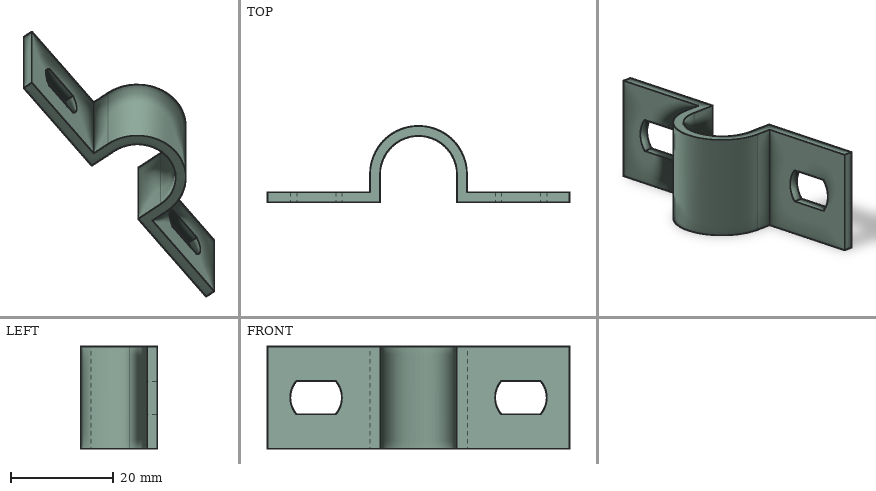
import cadquery as cq

length = 59.0
depth = 15.0
height = 20.0
thickness = 2.0

inner_radius = 7.5
outer_radius = inner_radius + thickness
mount_face_y = outer_radius - depth
flange_front_y = mount_face_y + thickness

hole_spacing = 40.0
hole_diameter = 10.05
hole_flat_height = 6.5


def strap():
    """Bent strap: two flat flanges joined by a round arch on straight legs."""
    half_length = length / 2
    return (
        cq.Workplane("XY")
        .workplane(offset=-height / 2)
        .moveTo(-half_length, mount_face_y)
        .lineTo(-inner_radius, mount_face_y)
        .lineTo(-inner_radius, 0)
        .threePointArc((0, inner_radius), (inner_radius, 0))
        .lineTo(inner_radius, mount_face_y)
        .lineTo(half_length, mount_face_y)
        .lineTo(half_length, flange_front_y)
        .lineTo(outer_radius, flange_front_y)
        .lineTo(outer_radius, 0)
        .threePointArc((0, outer_radius), (-outer_radius, 0))
        .lineTo(-outer_radius, flange_front_y)
        .lineTo(-half_length, flange_front_y)
        .close()
        .extrude(height)
    )


def mounting_hole(x):
    """Cutter through one flange: a cylinder along Y trimmed by two flats."""
    plane = cq.Workplane("XZ", origin=(x, mount_face_y, 0))
    cylinder = plane.circle(hole_diameter / 2).extrude(-thickness)
    flats = plane.rect(hole_diameter, hole_flat_height).extrude(-thickness)
    return cylinder.intersect(flats)


result = strap()
for side in (-1, 1):
    result = result.cut(mounting_hole(side * hole_spacing / 2))